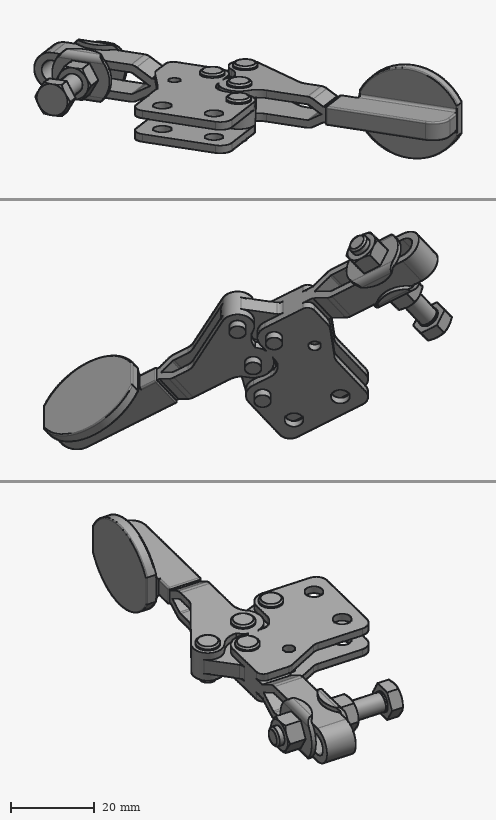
import cadquery as cq
import math


sheet = 2.0
half_core = sheet
half_stack = half_core + sheet
lobe_radius = 4.0
bend_angle = math.radians(30)
bend_outer_radius = 3.0
bend_inner_radius = bend_outer_radius - sheet

arm_pivot = (44.9, 30.2)
handle_arm_pivot = (49.95, 38.25)
handle_link_pivot = (53.7, 26.3)
base_pivot = (58.0, 16.1)
pivots = [arm_pivot, handle_arm_pivot, handle_link_pivot, base_pivot]

rivet_diameter = 4.0
rivet_tail = 2.0
rivet_head_diameter = 6.0
rivet_head_height = 0.9
rivet_head_chamfer = 0.5

base_left = 36.95
base_right = base_pivot[0] + lobe_radius
base_nose_x = 31.8
base_nose_bottom = 25.8
base_waist_y = 16.1
base_corner_radius = 3.0
base_nose_radius = 2.0
base_waist_radius = 3.0
mount_hole_diameter = 4.5
mount_hole_y = 5.15
mount_holes_x = (42.9, 56.4)
stop_hole_diameter = 3.0
stop_hole = (38.4, 22.5)

arm_width = 2 * lobe_radius
arm_bottom = arm_pivot[1] - arm_width / 2
arm_top = arm_pivot[1] + arm_width / 2
arm_half_loop = 4.75
arm_bend_x = 26.1
arm_shoulder_x = 40.4
arm_shoulder_radius = 2.0

handle_bottom = 24.9
handle_top = 33.05
handle_neck_x = 67.0
handle_neck_radius = 4.0
handle_lobe_radius = 5.0
handle_throat_radius = 5.0
handle_bend_x = 72.85
handle_tail_x = 95.0

bend_depth = handle_arm_pivot[1] + 2 * lobe_radius

grip_left = 77.0
grip_right = 107.67
grip_bottom = 24.35
grip_top = 33.4
grip_half_width = 2.4
grip_corner_radius = 4.45
grip_edge_radius = 0.45
pad_left = 81.7
pad_right = 107.4
pad_bottom = 34.0
pad_top = 36.85
pad_half_height = 11.5
pad_half_end = 3.9
pad_edge_radius = 0.3
pad_root_radius = 0.7

bolt_x = 12.75
bolt_diameter = 5.0
bolt_tip_y = 41.85
bolt_tip_chamfer = 0.5
hex_flats = 8.0
hex_corners = hex_flats / math.cos(math.pi / 6)
hex_chamfer_angle = math.radians(30)
bolt_head_bottom = 8.1
bolt_head_height = 3.4
bolt_collar_height = 0.5
bolt_collar_diameter = 5.3
nut_height = 4.6
washer_thickness = 1.2
washer_radius = 7.5
washer_half_width = 6.05
washer_lip_depth = 3.3
washer_bend_radius = 1.7


def fillet_corner(body, point, radius):
    """Round the Z-parallel edge that stands at the given X, Y point."""
    reach = 0.2
    x, y = point
    box = cq.selectors.BoxSelector(
        (x - reach, y - reach, -arm_half_loop),
        (x + reach, y + reach, arm_half_loop),
    )
    return body.edges("|Z").edges(box).fillet(radius)


def slab(points, half_width):
    """Polygon in X, Y extruded evenly to both sides of the mid-plane."""
    return cq.Workplane("XY").polyline(points).close().extrude(half_width, both=True)


def disc(center, radius, half_width):
    return cq.Workplane("XY").center(*center).circle(radius).extrude(half_width, both=True)


def box_between(low, high):
    size = [b - a for a, b in zip(low, high)]
    return cq.Workplane("XY").box(*size, centered=False).translate(low)


def tangent_point(start, end, radius, side):
    """Point of the circle around start where a line parallel to start-end leaves it."""
    dx, dy = end[0] - start[0], end[1] - start[1]
    length = math.hypot(dx, dy)
    return (start[0] - side * radius * dy / length, start[1] + side * radius * dx / length)


def outer_tangent(center, radius, point, side):
    """Tangent point, on the circle, of the line drawn from an outside point."""
    dx, dy = point[0] - center[0], point[1] - center[1]
    angle = math.atan2(dy, dx) + side * math.acos(radius / math.hypot(dx, dy))
    return (center[0] + radius * math.cos(angle), center[1] + radius * math.sin(angle))


def strap(start, end, radius, half_width):
    """Straight link with round ends about two pivots."""
    sides = [
        tangent_point(start, end, radius, 1),
        tangent_point(end, start, radius, -1),
        tangent_point(end, start, radius, 1),
        tangent_point(start, end, radius, -1),
    ]
    body = slab(sides, half_width)
    return body.union(disc(start, radius, half_width)).union(disc(end, radius, half_width))


def pinched_solid(x_start, x_bend, x_end, half_start, half_end, radius):
    """Block of bend_depth in Y whose half width narrows from half_start to half_end after x_bend."""
    x_pinched = x_bend + (half_start - half_end) / math.tan(bend_angle)
    upper = [(x_start, half_start), (x_bend, half_start), (x_pinched, half_end)]
    if half_end > 0:
        upper += [(x_end, half_end)]
    lower = [(x, -z) for x, z in reversed(upper) if z > 0]
    reach = 0.1
    body = cq.Workplane("XZ").polyline(upper + lower).close().extrude(-bend_depth)
    bend_zone = cq.selectors.BoxSelector(
        (x_bend - reach, -bend_depth, -2 * half_start),
        (x_bend + reach, 2 * bend_depth, 2 * half_start),
    )
    return body.edges("|Y").edges(bend_zone).fillet(radius)


def inner_bend_x(x_bend):
    """Bend position on the inside of the sheet."""
    return x_bend - sheet * math.tan(bend_angle / 2)


def make_base():
    pocket_x = arm_pivot[0] + lobe_radius
    lobe_top = base_pivot[1] + lobe_radius
    outline = [
        (base_nose_x, arm_top),
        (base_nose_x, base_nose_bottom),
        (base_left, base_waist_y),
        (base_left, 0),
        (base_right, 0),
        (base_right, lobe_top),
        (pocket_x, lobe_top),
        (pocket_x, arm_top),
    ]
    radii = [
        base_nose_radius,
        base_nose_radius,
        base_waist_radius,
        base_corner_radius,
        base_corner_radius,
        lobe_radius,
        lobe_radius,
        lobe_radius,
    ]
    plates = slab(outline, half_stack)
    for corner, radius in zip(outline, radii):
        plates = fillet_corner(plates, corner, radius)
    for x in mount_holes_x:
        plates = plates.cut(disc((x, mount_hole_y), mount_hole_diameter / 2, half_stack))
    plates = plates.cut(disc(stop_hole, stop_hole_diameter / 2, half_stack))
    gap = box_between((base_nose_x, 0, -half_core), (base_right, arm_top, half_core))
    return plates.cut(gap)


def make_arm():
    loop_center = arm_half_loop
    half_slot = arm_half_loop - sheet
    bar = pinched_solid(
        loop_center, arm_bend_x, arm_pivot[0], arm_half_loop, half_core, bend_outer_radius
    )
    slot = pinched_solid(
        loop_center, inner_bend_x(arm_bend_x), arm_pivot[0], half_slot, 0, bend_inner_radius
    )

    def loop_end(radius):
        return cq.Workplane("XZ").center(loop_center, 0).circle(radius).extrude(-bend_depth)

    bar = bar.union(loop_end(arm_half_loop)).cut(slot).cut(loop_end(half_slot))
    bar = bar.intersect(
        box_between((0, arm_bottom, -arm_half_loop), (arm_pivot[0], arm_top, arm_half_loop))
    )

    shoulder = (arm_shoulder_x, arm_top)
    lobe = strap(arm_pivot, handle_arm_pivot, lobe_radius, half_core)
    flank = outer_tangent(handle_arm_pivot, lobe_radius, shoulder, -1)
    lobe = lobe.union(slab([shoulder, flank, handle_arm_pivot, arm_pivot], half_core))
    arm = bar.union(lobe)
    return fillet_corner(arm, shoulder, arm_shoulder_radius)


def make_handle():
    clearance = math.dist(arm_pivot, handle_arm_pivot) - lobe_radius
    neck = (handle_neck_x, handle_top)
    outline = [
        arm_pivot,
        handle_arm_pivot,
        outer_tangent(handle_arm_pivot, lobe_radius, neck, 1),
        neck,
        (handle_tail_x, handle_top),
        (handle_tail_x, handle_bottom),
        (handle_link_pivot[0], handle_bottom),
    ]
    plates = slab(outline, half_stack)
    plates = plates.union(disc(handle_arm_pivot, lobe_radius, half_stack))
    plates = plates.cut(disc(arm_pivot, clearance, half_stack))
    plates = plates.union(disc(handle_link_pivot, handle_lobe_radius, half_stack))

    drop = handle_link_pivot[1] - handle_bottom
    throat = (handle_link_pivot[0] + math.sqrt(handle_lobe_radius**2 - drop**2), handle_bottom)
    plates = fillet_corner(plates, throat, handle_throat_radius)
    plates = fillet_corner(plates, neck, handle_neck_radius)

    envelope = pinched_solid(
        arm_pivot[0], handle_bend_x, handle_tail_x, half_stack, half_core, bend_outer_radius
    )
    gap = pinched_solid(
        arm_pivot[0], inner_bend_x(handle_bend_x), handle_tail_x, half_core, 0, bend_inner_radius
    )
    return plates.intersect(envelope.cut(gap))


def make_grip():
    grip = box_between(
        (grip_left, grip_bottom, -grip_half_width), (grip_right, grip_top, grip_half_width)
    )
    grip = fillet_corner(grip, (grip_right, grip_bottom), grip_corner_radius)
    return grip.edges().fillet(grip_edge_radius)


def make_thumb_pad():
    pad_middle = (pad_left + pad_right) / 2
    pad = (
        cq.Workplane("XZ", origin=(0, pad_bottom, 0))
        .moveTo(pad_left, -pad_half_end)
        .lineTo(pad_left, pad_half_end)
        .threePointArc((pad_middle, pad_half_height), (pad_right, pad_half_end))
        .lineTo(pad_right, -pad_half_end)
        .threePointArc((pad_middle, -pad_half_height), (pad_left, -pad_half_end))
        .close()
        .extrude(pad_bottom - pad_top)
        .edges("<Y or >Y")
        .fillet(pad_edge_radius)
    )
    root_y = pad_bottom - pad_root_radius
    stem_y = grip_top - grip_edge_radius
    root_half = grip_half_width + pad_root_radius
    bulge = pad_root_radius * (1 - math.sqrt(0.5))
    arc_y = pad_bottom - bulge
    arc_half = grip_half_width + bulge
    root = (
        cq.Workplane("YZ", origin=(pad_left, 0, 0))
        .moveTo(stem_y, -grip_half_width)
        .lineTo(stem_y, grip_half_width)
        .lineTo(root_y, grip_half_width)
        .threePointArc((arc_y, arc_half), (pad_bottom, root_half))
        .lineTo(pad_bottom, -root_half)
        .threePointArc((arc_y, -arc_half), (root_y, -grip_half_width))
        .close()
        .extrude(pad_right - pad_left)
    )
    return pad.union(root)


def make_rivet(center):
    shank = (
        cq.Workplane("XY", origin=(*center, -half_stack - rivet_tail))
        .circle(rivet_diameter / 2)
        .extrude(2 * half_stack + rivet_tail)
    )
    head = (
        cq.Workplane("XY", origin=(*center, half_stack))
        .circle(rivet_head_diameter / 2)
        .extrude(rivet_head_height)
        .faces(">Z")
        .edges()
        .chamfer(rivet_head_chamfer)
    )
    return shank.union(head)


def bolt_cylinder(y_low, y_high, diameter):
    return (
        cq.Workplane("XZ", origin=(bolt_x, y_low, 0))
        .circle(diameter / 2)
        .extrude(y_low - y_high)
    )


def make_hexagon(y_low, y_high, chamfer_low, chamfer_high):
    """Hexagon on the bolt axis with its corners turned off at the chosen ends."""
    prism = (
        cq.Workplane("XZ", origin=(bolt_x, y_low, 0))
        .polygon(6, hex_corners)
        .extrude(y_low - y_high)
    )
    inset = (hex_corners - hex_flats) / 2
    rise = inset * math.tan(hex_chamfer_angle)
    turned = bolt_cylinder(y_low, y_high, hex_corners)
    if chamfer_low:
        turned = turned.faces("<Y").edges().chamfer(rise, inset)
    if chamfer_high:
        turned = turned.faces(">Y").edges().chamfer(rise, inset)
    return prism.intersect(turned)


def make_washer(seat_y, direction):
    """Round washer on the arm edge; its two sides fold back over the arm's flanks."""
    outer = (
        cq.Workplane("XY")
        .box(2 * washer_radius, washer_lip_depth, 2 * washer_half_width)
        .translate((0, washer_thickness - washer_lip_depth / 2, 0))
        .edges("|X and >Y")
        .fillet(washer_bend_radius)
    )
    inner = (
        cq.Workplane("XY")
        .box(2 * washer_radius, washer_lip_depth, 2 * (washer_half_width - washer_thickness))
        .translate((0, -washer_lip_depth / 2, 0))
        .edges("|X and >Y")
        .fillet(washer_bend_radius - washer_thickness)
    )
    rim = cq.Workplane("XZ").circle(washer_radius).extrude(washer_lip_depth, both=True)
    lip_center = (0, washer_thickness - washer_lip_depth + washer_radius)
    lip_rim = disc(lip_center, washer_radius, washer_half_width)
    web = box_between(
        (-washer_radius, 0, -washer_half_width),
        (washer_radius, washer_thickness, washer_half_width),
    )
    washer = outer.cut(inner).intersect(rim).intersect(lip_rim.union(web))
    if direction < 0:
        washer = washer.mirror("XZ")
    return washer.translate((bolt_x, seat_y, 0))


def make_spindle():
    head_top = bolt_head_bottom + bolt_head_height
    upper_seat = arm_top + washer_thickness
    lower_seat = arm_bottom - washer_thickness
    shank = bolt_cylinder(bolt_head_bottom, bolt_tip_y, bolt_diameter)
    shank = shank.faces(">Y").edges().chamfer(bolt_tip_chamfer)
    parts = [
        bolt_cylinder(head_top, head_top + bolt_collar_height, bolt_collar_diameter),
        make_hexagon(bolt_head_bottom, head_top, True, False),
        make_hexagon(upper_seat, upper_seat + nut_height, False, True),
        make_hexagon(lower_seat - nut_height, lower_seat, True, False),
        make_washer(arm_top, 1),
        make_washer(arm_bottom, -1),
    ]
    for part in parts:
        shank = shank.union(part)
    return shank


result = make_base()
result = result.union(make_arm())
result = result.union(strap(handle_link_pivot, base_pivot, lobe_radius, half_core))
result = result.union(make_handle())
result = result.union(make_grip())
result = result.union(make_thumb_pad())
for pivot in pivots:
    result = result.union(make_rivet(pivot))
result = result.union(make_spindle())